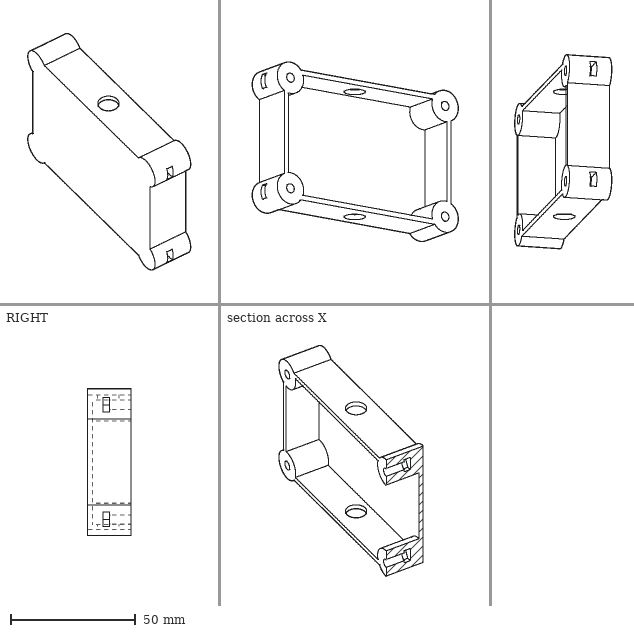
import cadquery as cq
import math

length = 89.0
depth = 17.5
height = 59.0

body_length = 82.0
body_height = 54.0
wall = 2.05

post_radius = 6.5
nut_across_flats = 5.9
nut_slot_width = 2.7
nut_slot_y = 7.6
screw_diameter = 3.7

port_diameter = 8.5
port_y = 8.4

post_x = length / 2 - post_radius
post_z = height / 2 - post_radius
post_centres = [(x, z) for x in (-post_x, post_x) for z in (-post_z, post_z)]


def block(size_x, size_z, y_start, y_end):
    """Block centred on the Y axis, between two depths."""
    return cq.Workplane("XY").box(size_x, y_end - y_start, size_z).translate((0, (y_start + y_end) / 2, 0))


def rod(x, z, diameter, y_start, y_end):
    """Cylinder parallel to Y, between two depths."""
    axis = cq.Vector(0, 1, 0)
    start = cq.Vector(x, y_start, z)
    return cq.Workplane(cq.Solid.makeCylinder(diameter / 2, y_end - y_start, start, axis))


def nut_slot(x, z):
    """Hexagonal nut seat, flats facing up and down, open to the nearer end of the part."""
    y_start = nut_slot_y - nut_slot_width / 2
    y_end = nut_slot_y + nut_slot_width / 2
    across_corners = nut_across_flats / math.cos(math.pi / 6)
    seat = cq.Workplane("XZ").polygon(6, across_corners).extrude(-nut_slot_width)
    side = math.copysign(1, x)
    entry = block(post_radius, nut_across_flats, y_start, y_end).translate((side * post_radius / 2, 0, 0))
    return seat.translate((0, y_start, 0)).union(entry).translate((x, 0, z))


result = block(body_length, body_height, 0, depth)
result = result.cut(block(body_length - 2 * wall, body_height - 2 * wall, wall, depth))

for x, z in post_centres:
    result = result.union(rod(x, z, 2 * post_radius, 0, depth))

for x, z in post_centres:
    result = result.cut(nut_slot(x, z))
    result = result.cut(rod(x, z, screw_diameter, nut_slot_y, depth))

port = cq.Workplane("XY").center(0, port_y).circle(port_diameter / 2).extrude(height / 2, both=True)
result = result.cut(port)